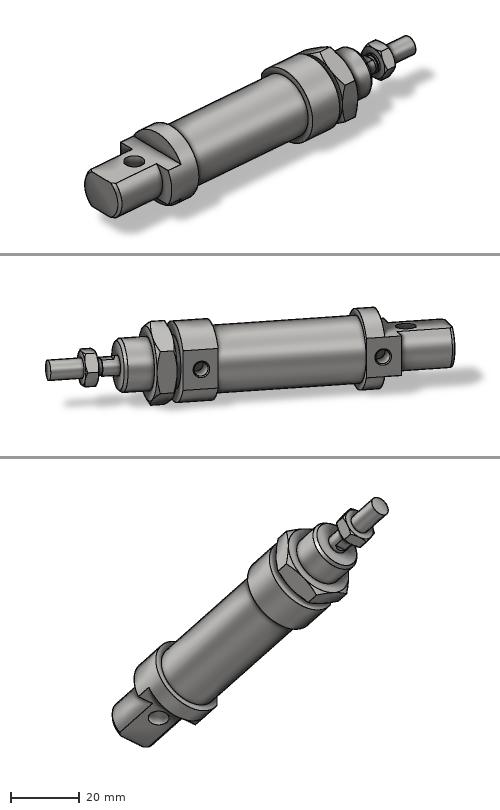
import cadquery as cq
import math


TOTAL_LENGTH = 121.0
TANG_SHOULDER_Y = 17.0
REAR_CAP_STEP_Y = 22.0
REAR_CAP_FRONT_Y = 27.6
FRONT_CAP_REAR_Y = 72.4
FRONT_CAP_FRONT_Y = 83.0
NOSE_END_Y = 100.0

CAP_DIAMETER = 24.0
BARREL_DIAMETER = 20.0
NOSE_DIAMETER = 16.0
END_FACE_DIAMETER = 14.5
END_CHAMFER_LENGTH = 1.0
TANG_THICKNESS = 12.0
PIVOT_HOLE_DIAMETER = 6.0
PIVOT_HOLE_Y = 13.0

PORT_FLAT_X = -math.sqrt((CAP_DIAMETER / 2) ** 2 - (TANG_THICKNESS / 2) ** 2)
PORT_DIAMETER = 4.2
PORT_MOUTH_DIAMETER = 5.0
PORT_CHAMFER = (PORT_MOUTH_DIAMETER - PORT_DIAMETER) / 2
PORT_DEPTH = 6.0
PORT_STATIONS = (22.5, 77.5)

ROD_DIAMETER = 6.0
GROOVE_DIAMETER = 5.0
GROOVE_FRONT_Y = 106.4
GROOVE_REAR_Y = 105.3
ROD_ACROSS_FLATS = 5.0
ROD_FLAT_REAR_Y = 101.6
ROD_INNER_END_Y = FRONT_CAP_REAR_Y

ROD_NUT_ACROSS_FLATS = 10.0
ROD_NUT_REAR_Y = 107.0
ROD_NUT_THICKNESS = 4.0
MOUNTING_NUT_ACROSS_FLATS = 22.0
MOUNTING_NUT_REAR_Y = 85.0
MOUNTING_NUT_THICKNESS = 6.0
NUT_CHAMFER_ANGLE = 30.0


def cylinder(diameter, start_y, end_y):
    """Cylinder on the main axis between two stations."""
    return (
        cq.Workplane("XZ", origin=(0, start_y, 0))
        .circle(diameter / 2)
        .extrude(start_y - end_y)
    )


def revolved(profile):
    """Solid turned about the Y axis from (radius, y) points."""
    return cq.Workplane("XY").polyline(profile).close().revolve(360, (0, 0, 0), (0, 1, 0))


def slab_pair(inner_z, start_y, end_y):
    """Two cutting blocks above and below the axis, beyond +/- inner_z."""
    blocks = cq.Workplane("XY")
    for side in (-1, 1):
        blocks = blocks.add(
            cq.Workplane("XY")
            .box(CAP_DIAMETER, end_y - start_y, CAP_DIAMETER)
            .translate((0, (start_y + end_y) / 2, side * (inner_z + CAP_DIAMETER / 2)))
        )
    return blocks.combine()


def make_port(station_y):
    """Cutter for a blind port with a chamfered mouth, entering along +X."""
    mouth = cq.Workplane("YZ", origin=(PORT_FLAT_X, station_y, 0))
    bore = mouth.circle(PORT_DIAMETER / 2).extrude(PORT_DEPTH)
    countersink = (
        mouth.circle(PORT_MOUTH_DIAMETER / 2)
        .workplane(offset=PORT_CHAMFER)
        .circle(PORT_DIAMETER / 2)
        .loft()
    )
    return bore.union(countersink)


def make_housing():
    end_radius = END_FACE_DIAMETER / 2
    nose_radius = NOSE_DIAMETER / 2
    barrel_radius = BARREL_DIAMETER / 2
    cap_radius = CAP_DIAMETER / 2
    body = revolved([
        (0, 0),
        (end_radius, 0),
        (nose_radius, END_CHAMFER_LENGTH),
        (nose_radius, TANG_SHOULDER_Y),
        (cap_radius, TANG_SHOULDER_Y),
        (cap_radius, REAR_CAP_FRONT_Y),
        (barrel_radius, REAR_CAP_FRONT_Y),
        (barrel_radius, FRONT_CAP_REAR_Y),
        (cap_radius, FRONT_CAP_REAR_Y),
        (cap_radius, FRONT_CAP_FRONT_Y),
        (nose_radius, FRONT_CAP_FRONT_Y),
        (nose_radius, NOSE_END_Y - END_CHAMFER_LENGTH),
        (end_radius, NOSE_END_Y),
        (0, NOSE_END_Y),
    ])

    body = body.cut(slab_pair(TANG_THICKNESS / 2, 0, REAR_CAP_STEP_Y))

    flat_cutter = (
        cq.Workplane("XY")
        .box(CAP_DIAMETER, TOTAL_LENGTH, CAP_DIAMETER)
        .translate((PORT_FLAT_X - CAP_DIAMETER / 2, TOTAL_LENGTH / 2, 0))
    )
    body = body.cut(flat_cutter)

    for station_y in PORT_STATIONS:
        body = body.cut(make_port(station_y))

    pivot_hole = (
        cq.Workplane("XY", origin=(0, PIVOT_HOLE_Y, 0))
        .circle(PIVOT_HOLE_DIAMETER / 2)
        .extrude(TANG_THICKNESS, both=True)
    )
    body = body.cut(pivot_hole)

    return body.cut(cylinder(ROD_DIAMETER, ROD_INNER_END_Y, NOSE_END_Y))


def make_rod():
    rod_radius = ROD_DIAMETER / 2
    groove_radius = GROOVE_DIAMETER / 2
    rod = revolved([
        (0, ROD_INNER_END_Y),
        (rod_radius, ROD_INNER_END_Y),
        (rod_radius, GROOVE_REAR_Y),
        (groove_radius, GROOVE_REAR_Y),
        (groove_radius, GROOVE_FRONT_Y),
        (rod_radius, GROOVE_FRONT_Y),
        (rod_radius, TOTAL_LENGTH),
        (0, TOTAL_LENGTH),
    ])

    flat_z = ROD_ACROSS_FLATS / 2
    run_out = rod_radius - flat_z
    for side in (-1, 1):
        notch = (
            cq.Workplane("YZ")
            .polyline([
                (GROOVE_REAR_Y, side * flat_z),
                (ROD_FLAT_REAR_Y, side * flat_z),
                (ROD_FLAT_REAR_Y - run_out, side * rod_radius),
                (GROOVE_REAR_Y, side * rod_radius),
            ])
            .close()
            .extrude(ROD_DIAMETER, both=True)
        )
        rod = rod.cut(notch)
    return rod


def make_nut(across_flats, bore_diameter, rear_y, thickness, corner_angle):
    """Hexagon nut chamfered on both faces; corner_angle turns a corner away from +X."""
    front_y = rear_y + thickness
    flat_radius = across_flats / 2
    corner_radius = flat_radius / math.cos(math.radians(30))
    chamfer = (corner_radius - flat_radius) * math.tan(math.radians(NUT_CHAMFER_ANGLE))
    hexagon = (
        cq.Workplane("XZ", origin=(0, rear_y, 0))
        .polygon(6, 2 * corner_radius)
        .extrude(-thickness)
        .rotate((0, 0, 0), (0, 1, 0), corner_angle)
    )
    chamfer_envelope = revolved([
        (0, rear_y),
        (flat_radius, rear_y),
        (corner_radius, rear_y + chamfer),
        (corner_radius, front_y - chamfer),
        (flat_radius, front_y),
        (0, front_y),
    ])
    return hexagon.intersect(chamfer_envelope).cut(cylinder(bore_diameter, rear_y, front_y))


housing = make_housing()
rod = make_rod()
rod_nut = make_nut(ROD_NUT_ACROSS_FLATS, ROD_DIAMETER, ROD_NUT_REAR_Y, ROD_NUT_THICKNESS, 0)
mounting_nut = make_nut(
    MOUNTING_NUT_ACROSS_FLATS, NOSE_DIAMETER, MOUNTING_NUT_REAR_Y, MOUNTING_NUT_THICKNESS, 90
)

bodies = [housing, rod, rod_nut, mounting_nut]
result = cq.Compound.makeCompound([body.solids().val() for body in bodies])